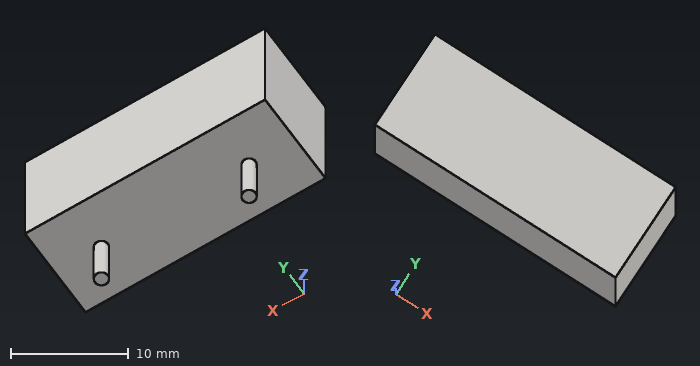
import cadquery as cq

housing_length = 24.4
housing_width = 9.4
overall_height = 16.7

pin_diameter = 1.3
pin_pitch = 15.0
pin_length = 5.1

housing_height = overall_height - pin_length


def make_housing():
    return cq.Workplane("XY").box(
        housing_length, housing_width, housing_height, centered=(True, True, False)
    )


def make_pin(x_position):
    """Round lead hanging from the underside of the housing."""
    return cq.Workplane("XY").center(x_position, 0).circle(pin_diameter / 2).extrude(-pin_length)


housing = make_housing()
pins = [make_pin(side * pin_pitch / 2) for side in (-1, 1)]

result = cq.Compound.makeCompound([housing.val(), *[pin.val() for pin in pins]])